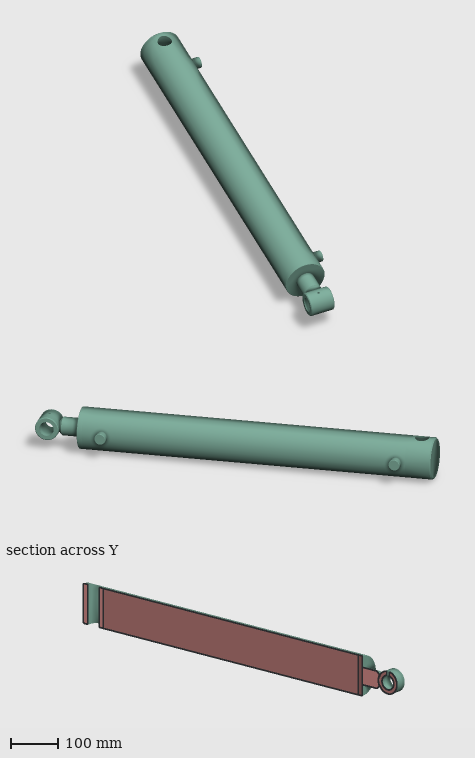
import cadquery as cq


total_length = 863.0
barrel_diameter = 90.0
cap_end_x = 55.0
tube_end_x = 757.0
gland_end_x = 768.0
cap_chamfer = 3.0
gland_chamfer = 1.0

cap_pin_hole_diameter = 30.0
cap_pin_hole_x = 28.5

rod_diameter = 40.0
rod_end_x = 815.5
rod_chamfer = 8.0

eye_diameter = 51.0
eye_width = 53.5
eye_bore = 31.0
eye_chamfer = 2.0
grease_hole_diameter = 5.0
eye_x = total_length - eye_diameter / 2

port_diameter = 24.0
port_end_y = 60.0
port_chamfer = 1.0
port_positions_x = (75.0, 714.0)


def bar_along_x(diameter, start_x, end_x):
    """Round bar on the cylinder axis."""
    start = cq.Workplane("YZ", origin=(start_x, 0, 0))
    return start.circle(diameter / 2).extrude(end_x - start_x)


def bar_along_y(diameter, center_x, start_y, end_y):
    """Round bar across the cylinder axis; the XZ plane extrudes toward -Y."""
    end = cq.Workplane("XZ", origin=(center_x, end_y, 0))
    return end.circle(diameter / 2).extrude(end_y - start_y)


def bar_along_z(diameter, center_x, start_z, end_z):
    """Upright round bar that crosses the cylinder axis."""
    start = cq.Workplane("XY", origin=(center_x, 0, start_z))
    return start.circle(diameter / 2).extrude(end_z - start_z)


def bar_across_eye(diameter):
    """Round bar as wide as the eye and coaxial with it."""
    return bar_along_y(diameter, eye_x, -eye_width / 2, eye_width / 2)


def make_cap():
    cap = bar_along_x(barrel_diameter, 0, cap_end_x).faces("<X").chamfer(cap_chamfer)
    pin_hole = bar_along_z(cap_pin_hole_diameter, cap_pin_hole_x, -barrel_diameter / 2, barrel_diameter / 2)
    return cap.cut(pin_hole)


def make_tube():
    return bar_along_x(barrel_diameter, cap_end_x, tube_end_x)


def make_gland():
    return bar_along_x(barrel_diameter, tube_end_x, gland_end_x).faces(">X").chamfer(gland_chamfer)


def make_rod():
    rod = bar_along_x(rod_diameter, gland_end_x, rod_end_x).faces(">X").chamfer(rod_chamfer)
    return rod.cut(bar_across_eye(eye_diameter))


def make_eye():
    eye = bar_across_eye(eye_diameter).faces("<Y or >Y").chamfer(eye_chamfer)
    grease_hole = bar_along_z(grease_hole_diameter, eye_x, 0, eye_diameter / 2)
    return eye.cut(bar_across_eye(eye_bore)).cut(grease_hole)


def make_port(center_x):
    port = bar_along_y(port_diameter, center_x, 0, port_end_y).faces(">Y").chamfer(port_chamfer)
    return port.cut(make_tube())


cap = make_cap().solids().val()
tube = make_tube().solids().val()
gland = make_gland().solids().val()
rod = make_rod().solids().val()
eye = make_eye().solids().val()
ports = [make_port(center_x).solids().val() for center_x in port_positions_x]

result = cq.Compound.makeCompound([cap, tube, gland, rod, eye, *ports])